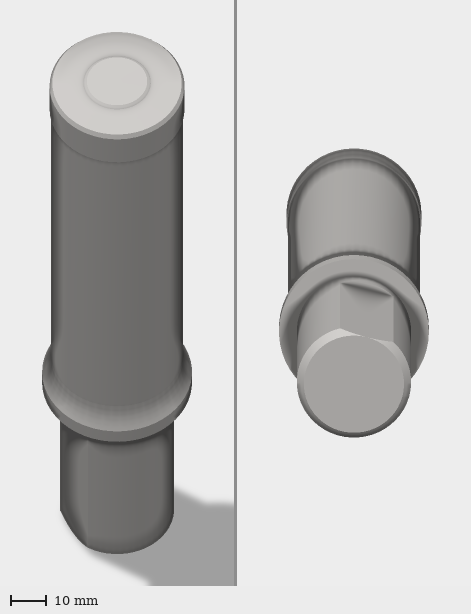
import cadquery as cq
import math

total_height = 199.0
flange_bottom = 60.5
flange_top = 65.3
flare_top = 73.6
cap_bottom = 186.3
cap_shoulder_height = 196.8
cap_rim_height = 198.0
cap_crown = 0.3
boss_base_height = cap_rim_height + cap_crown
boss_crown = 0.1
boss_edge_height = total_height - boss_crown

shank_radius = 32.0 / 2
shank_chamfer_width = 2.0
shank_chamfer_height = 2.4
flat_depth = 2.0
flat_top = 55.1

sleeve_radius = 37.0 / 2
flange_radius = 42.0 / 2

cap_radius = 37.8 / 2
cap_edge_width = 0.8
boss_base_radius = 19.0 / 2
boss_top_radius = 17.0 / 2
tip_radius = 2.4 / 2


def flare_midpoint():
    """Middle point (r, z) of the concave arc that leaves the sleeve tangentially and ends on the flange."""
    rise = flare_top - flange_top
    overhang = flange_radius - sleeve_radius
    arc_radius = (rise**2 + overhang**2) / (2 * overhang)
    half_angle = math.asin(rise / arc_radius) / 2
    return (
        sleeve_radius + arc_radius * (1 - math.cos(half_angle)),
        flare_top - arc_radius * math.sin(half_angle),
    )


def make_housing():
    """Turned shank, flange and sleeve, with one flat along the -Y side of the shank."""
    turned = (
        cq.Workplane("XZ")
        .moveTo(0, 0)
        .lineTo(shank_radius - shank_chamfer_width, 0)
        .lineTo(shank_radius, shank_chamfer_height)
        .lineTo(shank_radius, flange_bottom)
        .lineTo(flange_radius, flange_bottom)
        .lineTo(flange_radius, flange_top)
        .threePointArc(flare_midpoint(), (sleeve_radius, flare_top))
        .lineTo(sleeve_radius, cap_bottom)
        .lineTo(0, cap_bottom)
        .close()
        .revolve(360, (0, 0, 0), (0, 1, 0))
    )
    flat_cutter = cq.Workplane("XY").box(
        2 * shank_radius, shank_radius, flat_top, centered=(True, False, False)
    ).translate((0, flat_depth - 2 * shank_radius, 0))
    return turned.cut(flat_cutter)


def make_cap():
    """Cap on the end of the sleeve, its end face and low boss both slightly conical, with a small flat tip."""
    return (
        cq.Workplane("XZ")
        .moveTo(0, cap_bottom)
        .lineTo(cap_radius, cap_bottom)
        .lineTo(cap_radius, cap_shoulder_height)
        .lineTo(cap_radius - cap_edge_width, cap_rim_height)
        .lineTo(boss_base_radius, boss_base_height)
        .lineTo(boss_top_radius, boss_edge_height)
        .lineTo(tip_radius, total_height)
        .lineTo(0, total_height)
        .close()
        .revolve(360, (0, 0, 0), (0, 1, 0))
    )


housing = make_housing()
cap = make_cap()

result = cq.Compound.makeCompound([housing.val(), cap.val()])